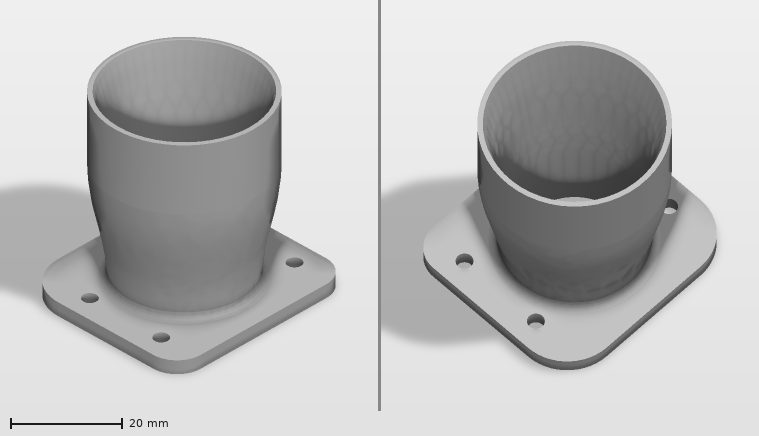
import cadquery as cq

flange_width = 40.0
flange_depth = 44.0
flange_thickness = 3.0
large_corner_radius = 10.0
small_corner_radius = 6.0

hole_diameter = 3.2
hole_spacing_y = 34.05
hole_left_x = -7.05
hole_right_x = 11.0

total_height = 43.0
socket_length = 15.0
socket_outer_radius = 17.5
rim_inner_radius = 16.5
neck_outer_radius = 14.0
neck_fillet_radius = 1.5
socket_base_z = total_height - socket_length
UP = (0, 1)

clearance = 0.45

inlet_radius = 11.0
throat_radius = 12.25
throat_to_rim = 20.0
throat_z = total_height - throat_to_rim
inlet_slope = -0.03
throat_slope = 0.14
rim_slope = 0.29


def make_flange():
    """Plate with large corners on the -X side and small corners on the +X side."""
    plate = cq.Workplane("XY").box(
        flange_width, flange_depth, flange_thickness, centered=(True, True, False)
    )
    plate = plate.edges("|Z and <X").fillet(large_corner_radius)
    return plate.edges("|Z and >X").fillet(small_corner_radius)


def make_tube_body():
    """Solid of revolution: flared neck below a straight socket."""
    profile = (
        cq.Workplane("XZ")
        .lineTo(neck_outer_radius, 0)
        .lineTo(neck_outer_radius, flange_thickness)
        .spline([(socket_outer_radius, socket_base_z)], tangents=[UP, UP], includeCurrent=True)
        .lineTo(socket_outer_radius, total_height)
        .lineTo(0, total_height)
        .close()
    )
    return profile.revolve(360, (0, 0, 0), (0, 1, 0))


def make_tube_passage():
    """Funnel-shaped inner space, widening smoothly from the inlet to the rim."""
    profile = (
        cq.Workplane("XZ")
        .lineTo(inlet_radius, 0)
        .spline(
            [(throat_radius, throat_z)],
            tangents=[(inlet_slope, 1), (throat_slope, 1)],
            includeCurrent=True,
        )
        .spline(
            [(rim_inner_radius, total_height)],
            tangents=[(throat_slope, 1), (rim_slope, 1)],
            includeCurrent=True,
        )
        .lineTo(0, total_height)
        .close()
    )
    return profile.revolve(360, (0, 0, 0), (0, 1, 0))


def make_bolt_holes():
    centres = [
        (x, y)
        for x in (hole_left_x, hole_right_x)
        for y in (-hole_spacing_y / 2, hole_spacing_y / 2)
    ]
    return cq.Workplane("XY").pushPoints(centres).circle(hole_diameter / 2).extrude(flange_thickness)


def round_neck_base(body):
    """Fillet the circle where the neck meets the top of the flange."""
    reach = neck_outer_radius + clearance
    around_neck_base = cq.selectors.BoxSelector(
        (-reach, -reach, flange_thickness - clearance),
        (reach, reach, flange_thickness + clearance),
        boundingbox=True,
    )
    return body.edges(around_neck_base).fillet(neck_fillet_radius)


body = round_neck_base(make_flange().union(make_tube_body()))
result = body.cut(make_tube_passage()).cut(make_bolt_holes())